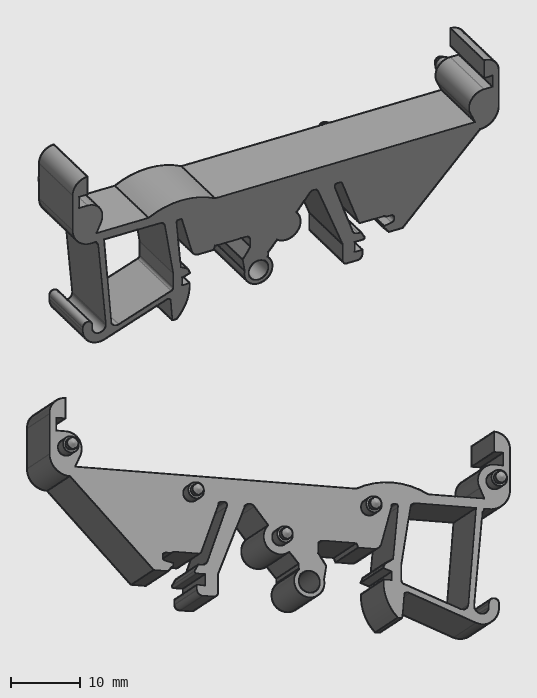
import cadquery as cq
import math


LENGTH = 70.0
THICKNESS = 10.0
HALF_LENGTH = LENGTH / 2
DECK_DEPTH = 1.5
CLAMP_TOP = 10.0
FOOT_BOTTOM = -18.55

PIN_RADIUS = 1.2
PIN_LENGTH = 2.3
PIN_TIP_RADIUS = 0.85
PIN_TIP_LENGTH = 0.85
PIN_POINT_LENGTH = 0.5
BOSS_RADIUS = 2.45
END_PIN = (HALF_LENGTH - BOSS_RADIUS, 2.65)
INNER_PIN = (13.5, -2.65)
CENTRE_PIN = (0.0, -8.1)

CLAMP_TOP_ROUND = 2.45
CLAMP_BOTTOM_ROUND = 3.1
CLAMP_NOTCH_S = 33.95
CLAMP_NOTCH_TOP = 7.0
CLAMP_NECK_S = 31.1
CLAMP_NECK_ANGLE = math.radians(27)

LUG_CENTRE = (4.5, -14.3)
LUG_RADIUS = 2.3
LUG_BORE_RADIUS = 1.6

ARCH_START = 11.6
ARCH_END = 22.55
ARCH_HEIGHT = 1.3

HOOK_CENTRE = (30.65, -15.9)
HOOK_INNER_RADIUS = 1.1
HOOK_OUTER_RADIUS = HOOK_CENTRE[1] - FOOT_BOTTOM
HOOK_TIP_Z = -14.55

BARB_ROOT = (17.0, -13.1)
RIB_START = (19.7, -14.8)
BARB_OVERLAP = (18.35, -13.3)
HOOK_OVERLAP = (29.05, -17.15)
RIB_SLOPE = math.radians(19.8)
RIB_END = (
    HOOK_CENTRE[0] - HOOK_OUTER_RADIUS * math.sin(RIB_SLOPE),
    HOOK_CENTRE[1] - HOOK_OUTER_RADIUS * math.cos(RIB_SLOPE),
)

PROFILE_PLANE = cq.Plane(origin=(0, 0, 0), xDir=(0, -1, 0), normal=(-1, 0, 0))


def profile_sketch():
    return cq.Workplane(PROFILE_PLANE)


def plate(wire):
    """Extrude a closed profile through the full thickness, towards +X."""
    return wire.extrude(-THICKNESS)


def disc(centre, radius):
    return plate(profile_sketch().center(*centre).circle(radius))


def rounded_outline(corners):
    """Closed outline through (s, z) corners; a third value rounds that corner to a radius."""
    points = [cq.Vector(c[0], c[1]) for c in corners]
    count = len(points)
    wire = None
    for i, corner in enumerate(corners):
        here = points[i]
        radius = corner[2] if len(corner) > 2 else 0
        if radius == 0:
            wire = wire.lineTo(here.x, here.y) if wire else profile_sketch().moveTo(here.x, here.y)
            continue
        to_last = (points[i - 1] - here).normalized()
        to_next = (points[(i + 1) % count] - here).normalized()
        half_angle = to_last.getAngle(to_next) / 2
        setback = radius / math.tan(half_angle)
        start = here + to_last * setback
        end = here + to_next * setback
        apex_distance = radius / math.sin(half_angle) - radius
        middle = here + (to_last + to_next).normalized() * apex_distance
        wire = wire.lineTo(start.x, start.y) if wire else profile_sketch().moveTo(start.x, start.y)
        wire = wire.threePointArc((middle.x, middle.y), (end.x, end.y))
    return wire.close()


def deck():
    strip = plate(profile_sketch().center(0, -DECK_DEPTH / 2).rect(2 * CLAMP_NECK_S, DECK_DEPTH))
    arch = plate(
        profile_sketch()
        .moveTo(ARCH_START, 0)
        .threePointArc(((ARCH_START + ARCH_END) / 2, ARCH_HEIGHT), (ARCH_END, 0))
        .close()
    )
    return strip.union(arch)


def end_clamp():
    """Hooked upright with a round pin boss at the s = +50 end."""
    boss_s, boss_z = END_PIN
    boss_top = boss_z + BOSS_RADIUS
    boss_mid = (boss_s - BOSS_RADIUS * math.cos(math.pi / 6), boss_z + BOSS_RADIUS / 2)
    boss_end = (
        boss_s - BOSS_RADIUS * math.cos(CLAMP_NECK_ANGLE),
        boss_z - BOSS_RADIUS * math.sin(CLAMP_NECK_ANGLE),
    )
    top_sag = CLAMP_TOP_ROUND * (1 - math.sqrt(0.5))
    bottom_sag = CLAMP_BOTTOM_ROUND * (1 - math.sqrt(0.5))
    return plate(
        profile_sketch()
        .moveTo(HALF_LENGTH - CLAMP_TOP_ROUND, CLAMP_TOP)
        .threePointArc(
            (HALF_LENGTH - top_sag, CLAMP_TOP - top_sag),
            (HALF_LENGTH, CLAMP_TOP - CLAMP_TOP_ROUND),
        )
        .lineTo(HALF_LENGTH, CLAMP_BOTTOM_ROUND - DECK_DEPTH)
        .threePointArc(
            (HALF_LENGTH - bottom_sag, bottom_sag - DECK_DEPTH),
            (HALF_LENGTH - CLAMP_BOTTOM_ROUND, -DECK_DEPTH),
        )
        .lineTo(CLAMP_NECK_S, -DECK_DEPTH)
        .lineTo(CLAMP_NECK_S, 0)
        .lineTo(*boss_end)
        .threePointArc(boss_mid, (boss_s, boss_top))
        .lineTo(CLAMP_NOTCH_S, boss_top)
        .lineTo(CLAMP_NOTCH_S, CLAMP_NOTCH_TOP)
        .lineTo(HALF_LENGTH - CLAMP_TOP_ROUND, CLAMP_NOTCH_TOP)
        .close()
    )


def web():
    """Plate below the deck: wedge, spring arm, lug neck, rear block and latch leg in one outline."""
    wedge = [
        (CLAMP_BOTTOM_ROUND - HALF_LENGTH, -DECK_DEPTH),
        (-19.2, -14.35),
        (-16.95, -14.35),
        (-16.2, -13.5),
        (-16.2, -13.1),
        (-17.9, -12.75, 0.55),
        (-17.7, -11.6, 0.55),
        (-16.45, -11.6),
        (-16.2, -11.4),
        (-12.05, -11.4, 0.4),
    ]
    spring_arm = [
        (-9.2, -3.5, 0.4),
        (-7.85, -3.5, 0.4),
        (-11.2, -13.0, 1.0),
        (-12.4, -13.0),
        (-13.15, -14.35, 0.3),
        (-11.35, -14.35),
        (-11.35, -16.0),
        (-12.6, -16.0),
        (-12.6, -17.6, 0.85),
        (-9.4, -17.6, 0.6),
        (-9.4, -14.2),
        (-4.8, -2.65, 0.85),
    ]
    lug_neck = [
        (-1.8, -6.4),
        CENTRE_PIN,
        (1.4, -10.1),
        (2.9, -11.75),
        (2.9, -12.45),
        LUG_CENTRE,
        (6.7, -13.85),
        (7.1, -11.75),
        (5.8, -9.95),
    ]
    rear_block = [
        (5.8, -8.05, 0.8),
        (11.6, -8.05),
        (11.9, -8.7),
        (15.2, -8.7, 1.1),
        (17.1, -1.8, 0.35),
    ]
    latch_leg = [
        (18.0, -1.8, 0.35),
        (17.2, -9.95),
        (16.0, -10.65),
        (15.7, -11.4),
        (17.0, -11.8),
        BARB_ROOT,
        RIB_START,
        (19.6, -DECK_DEPTH),
    ]
    body = plate(rounded_outline(wedge + spring_arm + lug_neck + rear_block + latch_leg))
    body = body.union(disc(CENTRE_PIN, BOSS_RADIUS)).union(disc(LUG_CENTRE, LUG_RADIUS))
    return body.cut(disc(LUG_CENTRE, LUG_BORE_RADIUS))


def barb():
    """Curved latch tooth hanging below the latch leg."""
    return plate(
        profile_sketch()
        .moveTo(*BARB_ROOT)
        .lineTo(15.75, BARB_ROOT[1])
        .threePointArc((16.3, -16.2), (17.9, FOOT_BOTTOM))
        .lineTo(18.6, FOOT_BOTTOM)
        .lineTo(18.9, -15.05)
        .threePointArc((19.1, -14.8), RIB_START)
        .lineTo(*BARB_OVERLAP)
        .close()
    )


def hook():
    """J-shaped hook that the bottom rib runs into tangentially."""
    s, z = HOOK_CENTRE
    tip_outer = s + HOOK_OUTER_RADIUS
    tip_inner = s + HOOK_INNER_RADIUS
    tip_radius = (tip_outer - tip_inner) / 2
    tip_base = HOOK_TIP_Z - tip_radius
    outer_diagonal = HOOK_OUTER_RADIUS * math.sqrt(0.5)
    return plate(
        profile_sketch()
        .moveTo(*RIB_END)
        .threePointArc((s + outer_diagonal, z - outer_diagonal), (tip_outer, z))
        .lineTo(tip_outer, tip_base)
        .threePointArc((tip_outer - tip_radius, HOOK_TIP_Z), (tip_inner, tip_base))
        .lineTo(tip_inner, z)
        .threePointArc((s, z - HOOK_INNER_RADIUS), (s - HOOK_INNER_RADIUS, z))
        .lineTo(*HOOK_OVERLAP)
        .close()
    )


def frame():
    """Solid frame with its barb and hook; the window is cut from it later."""
    outline = [
        (18.9, -DECK_DEPTH),
        BARB_ROOT,
        RIB_START,
        RIB_END,
        (HOOK_CENTRE[0] - HOOK_INNER_RADIUS, HOOK_CENTRE[1]),
        (30.8, -2.0),
        (31.15, -DECK_DEPTH),
    ]
    return plate(rounded_outline(outline)).union(barb()).union(hook())


def window():
    """Opening bounded by the deck, latch leg, bottom rib and rear strut."""
    return plate(
        rounded_outline(
            [
                (19.95, -DECK_DEPTH, 0.85),
                (29.8, -DECK_DEPTH),
                (28.55, -16.95, 0.9),
                (18.5, -13.4, 0.5),
                (18.5, -10.65),
            ]
        )
    )


def pin(centre):
    """Stepped pin with a conical point, standing out of the -X face."""
    point_start = PIN_LENGTH + PIN_TIP_LENGTH
    half_section = (
        cq.Workplane("XY")
        .lineTo(0, PIN_RADIUS)
        .lineTo(-PIN_LENGTH, PIN_RADIUS)
        .lineTo(-PIN_LENGTH, PIN_TIP_RADIUS)
        .lineTo(-point_start, PIN_TIP_RADIUS)
        .lineTo(-point_start - PIN_POINT_LENGTH, 0)
        .close()
    )
    turned = half_section.revolve(360, (0, 0, 0), (1, 0, 0))
    return turned.translate((0, -centre[0], centre[1]))


clamp = end_clamp()
body = deck().union(clamp).union(clamp.mirror("XZ"))
body = body.union(web()).union(frame()).cut(window())

end_pins = [END_PIN, (-END_PIN[0], END_PIN[1])]
inner_pins = [INNER_PIN, (-INNER_PIN[0], INNER_PIN[1])]
for pin_centre in end_pins + inner_pins + [CENTRE_PIN]:
    body = body.union(pin(pin_centre))

result = body